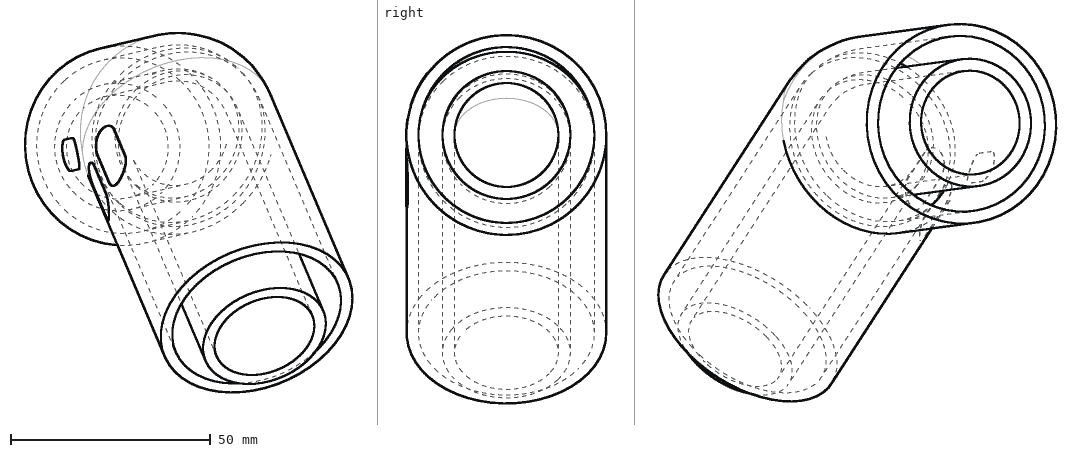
import cadquery as cq

bend_angle = 45.0
jacket_diameter = 50.0
jacket_bore = 44.0
pipe_diameter = 32.0
pipe_bore = 26.0
jacket_length = 70.0
pipe_length = 77.0
web_thickness = (jacket_diameter - jacket_bore) / 2

pad_length = 18.0
pad_width = 8.0
pad_height = 0.1
pad_offset = 15.0
upper_pad_rise = 11.5


def lower_arm(shape):
    """Turn a shape lying along +X about the bend centre onto the lower arm."""
    return shape.rotate((0, 0, 0), (0, 1, 0), 180 - bend_angle)


def elbow(diameter, length):
    """Solid elbow: two round arms meeting in a ball at the bend."""
    arm = cq.Workplane("YZ").circle(diameter / 2).extrude(length)
    ball = cq.Workplane("XY").sphere(diameter / 2)
    return arm.union(lower_arm(arm)).union(ball)


def raised_pad(rise):
    """Round-ended pad following the jacket of the +X arm, on its -Y side."""
    pad_radius = jacket_diameter / 2 + pad_height
    outline = (
        cq.Workplane("XZ")
        .center(pad_offset, rise)
        .slot2D(pad_length, pad_width)
        .extrude(pad_radius)
    )
    sleeve = (
        cq.Workplane("YZ")
        .circle(pad_radius)
        .circle(jacket_bore / 2 + web_thickness / 2)
        .extrude(jacket_length)
    )
    return outline.intersect(sleeve)


def annular_gap():
    """Space between pipe and jacket, interrupted by a web on the mitre plane."""
    web = (
        cq.Workplane("XY")
        .box(web_thickness, 2 * jacket_diameter, 2 * jacket_diameter)
        .rotate((0, 0, 0), (0, 1, 0), -bend_angle / 2)
    )
    return elbow(jacket_bore, jacket_length).cut(elbow(pipe_diameter, pipe_length)).cut(web)


result = elbow(jacket_diameter, jacket_length).union(elbow(pipe_diameter, pipe_length))
result = result.cut(annular_gap()).cut(elbow(pipe_bore, pipe_length))

for rise in (0, upper_pad_rise):
    result = result.union(raised_pad(rise))
result = result.union(lower_arm(raised_pad(0)))